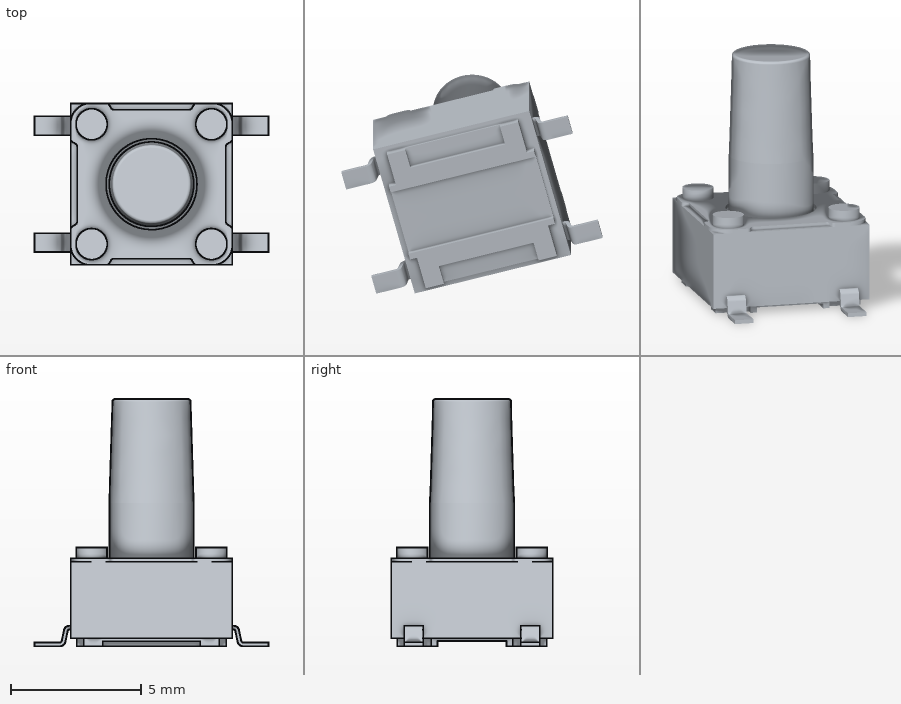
import cadquery as cq
import math

body_side = 6.2
body_bottom = 0.3
cover_bottom = 3.25
cover_top = 3.39
half_side = body_side / 2
cover_mid = (cover_bottom + cover_top) / 2
cover_corner_radius = 0.76
plunger_hole_diameter = 3.5

notch_depth = 0.25
notch_mid_half_width = 1.59
notch_slant = math.radians(30)
notch_bend_radius = 0.14
notch_half_run = notch_depth * math.tan(notch_slant) / 2
notch_floor_half_width = notch_mid_half_width - notch_half_run
notch_mouth_half_width = notch_mid_half_width + notch_half_run

stud_diameter = 1.2
stud_offset = 2.3
stud_top = 3.8

plunger_diameter = 3.25
plunger_tip_diameter = 3.0
taper_start = 5.5
total_height = 9.5
tip_fillet = 0.1

pad_half_reach = 2.88
pad_half_width_x = 2.6
pad_half_width_y = 1.57
groove_height = 0.2
channel_half_width = 1.32
recess_half_width = 1.88
recess_depth = 0.76

lead_span = 9.0
lead_thickness = 0.15
lead_width = 0.73
lead_offset = 2.24
lead_top = 0.8
lead_knee_x = 3.325
lead_slant = math.radians(12)
lead_inner_radius = 0.08
lead_embed = 0.19


def block(size_x, size_y, bottom, top):
    """Box centred on the Z axis between two heights."""
    return cq.Workplane("XY").workplane(offset=bottom).rect(size_x, size_y).extrude(top - bottom)


def disc(diameter, bottom, top):
    """Round post on the Z axis between two heights."""
    return cq.Workplane("XY").workplane(offset=bottom).circle(diameter / 2).extrude(top - bottom)


def notch_cutter():
    """Trapezoid with rounded inner corners that opens through the +Y edge of the cover."""
    floor = half_side - notch_depth
    cutter = (
        cq.Workplane("XY").workplane(offset=cover_bottom)
        .polyline([
            (-notch_mouth_half_width, half_side), (-notch_floor_half_width, floor),
            (notch_floor_half_width, floor), (notch_mouth_half_width, half_side),
        ])
        .close().extrude(cover_top - cover_bottom)
    )
    return cutter.edges("|Z and <Y").fillet(notch_bend_radius)


def make_cover():
    cover = block(body_side, body_side, cover_bottom, cover_top).edges("|Z").fillet(cover_corner_radius)
    cutter = notch_cutter()
    for _ in range(4):
        cover = cover.cut(cutter)
        for mouth_x in (-notch_mouth_half_width, notch_mouth_half_width):
            mouth_corner = cq.NearestToPointSelector((mouth_x, half_side, cover_mid))
            cover = cover.edges("|Z").edges(mouth_corner).fillet(notch_bend_radius)
        cover = cover.rotate((0, 0, 0), (0, 0, 1), 90)
    return cover.cut(disc(plunger_hole_diameter, cover_bottom, cover_top))


def make_plunger():
    shaft = disc(plunger_diameter, cover_bottom, taper_start)
    tip = (
        cq.Workplane("XY").workplane(offset=taper_start).circle(plunger_diameter / 2)
        .workplane(offset=total_height - taper_start).circle(plunger_tip_diameter / 2)
        .loft(ruled=True)
    )
    return shaft.union(tip.faces(">Z").edges().fillet(tip_fillet))


def make_base_pad():
    pad = block(2 * pad_half_width_x, 2 * pad_half_reach, 0, body_bottom)
    pad = pad.union(block(2 * pad_half_reach, 2 * pad_half_width_y, 0, body_bottom))
    pad = pad.cut(block(2 * pad_half_reach, 2 * channel_half_width, 0, groove_height))
    recess = block(2 * recess_half_width, 2 * recess_depth, 0, groove_height)
    for side in (-1, 1):
        pad = pad.cut(recess.translate((0, side * pad_half_reach, 0)))
    return pad


def make_lead():
    """Lead on the +X, +Y corner, bent from a strip: shelf, slanted leg, foot."""
    lean = math.tan(lead_slant)
    leg_span_x = lead_thickness / math.cos(lead_slant)
    root = half_side - lead_embed
    shelf_under = lead_top - lead_thickness

    def leg_outer(z):
        return lead_knee_x + (lead_top - z) * lean

    knee_outer = (leg_outer(lead_top), lead_top)
    heel_inner = (leg_outer(lead_thickness), lead_thickness)
    heel_outer = (leg_outer(0) - leg_span_x, 0)
    knee_inner = (leg_outer(shelf_under) - leg_span_x, shelf_under)
    outline = [
        (root, lead_top), knee_outer, heel_inner, (lead_span / 2, lead_thickness),
        (lead_span / 2, 0), heel_outer, knee_inner, (root, shelf_under),
    ]
    lead = cq.Workplane("XZ").polyline(outline).close().extrude(lead_width / 2, both=True)
    lead_outer_radius = lead_inner_radius + lead_thickness
    bends = [
        (knee_outer, lead_outer_radius), (knee_inner, lead_inner_radius),
        (heel_outer, lead_outer_radius), (heel_inner, lead_inner_radius),
    ]
    for (x, z), radius in bends:
        lead = lead.edges("|Y").edges(cq.NearestToPointSelector((x, 0, z))).fillet(radius)
    return lead.translate((0, lead_offset, 0))


result = block(body_side, body_side, body_bottom, cover_bottom)
result = result.union(make_cover()).union(make_base_pad()).union(make_plunger())

stud = disc(stud_diameter, cover_bottom, stud_top)
lead = make_lead()
for x_side in (-1, 1):
    for y_side in (-1, 1):
        result = result.union(stud.translate((x_side * stud_offset, y_side * stud_offset, 0)))
for corner_lead in (lead, lead.mirror("XZ")):
    result = result.union(corner_lead).union(corner_lead.mirror("YZ"))